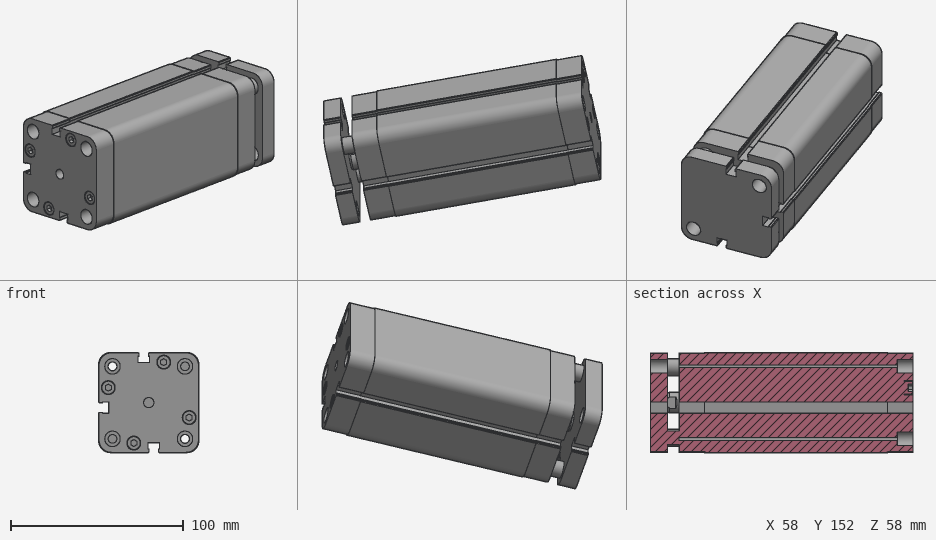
import cadquery as cq
import math

total_length = 152.0
plate_thickness = 10.0
plate_gap = 6.5
cap_length = 14.7

body_side = 58.0
cap_side = 57.5
corner_radius = 7.0

groove_offset = 2.9
groove_width = 6.4
groove_mouth_width = 5.5
groove_mouth_depth = 2.0
groove_lip_chamfer = 0.5
body_groove_depth = 5.8
cap_groove_depth = 5.6

mount_hole_offset = 21.0
mount_hole_diameter = 5.0
mount_counterbore_diameter = 9.0
mount_counterbore_depth = 9.1

screw_count = 4
screw_edge_offset = 23.4
screw_side_offset = 8.7
screw_pocket_diameter = 8.0
screw_pocket_depth = 5.0
screw_head_diameter = 7.5
screw_head_recess = 0.3
screw_hex_across_flats = 3.5
screw_hex_depth = 2.5

port_diameter = 6.0
port_depth = 10.0

piston_rod_diameter = 12.0
piston_flat_width = 10.0
piston_flat_length = 4.5
piston_flat_slope_length = 0.9
piston_chamfer_length = 1.0
piston_chamfer_width = 0.5
guide_rod_diameter = 10.0
guide_rod_offset = 20.4
plate_hole_diameter = 9.0

front_y = -total_length / 2
back_y = total_length / 2
plate_front_y = back_y - plate_thickness
cylinder_back_y = plate_front_y - plate_gap
body_front_y = front_y + cap_length
body_back_y = cylinder_back_y - cap_length
signs = (1, -1)
groove_turns = (0, -90, -180)


def section_at(y):
    """Sketch plane facing +Y with its X along -X and its Y along +Z."""
    return cq.Workplane(cq.Plane(origin=(0, y, 0), xDir=(-1, 0, 0), normal=(0, 1, 0)))


def cylinder_along_y(diameter, x, z, start_y, end_y):
    return section_at(start_y).center(-x, z).circle(diameter / 2).extrude(end_y - start_y)


def top_groove(side, groove_depth):
    """Groove open at the top of a block of this side, wider below its mouth, with chamfered lips."""
    half_width = groove_width / 2
    half_mouth = groove_mouth_width / 2
    half_lip = half_mouth + groove_lip_chamfer
    right_half = [
        (half_width, -groove_depth),
        (half_width, -groove_mouth_depth),
        (half_mouth, -groove_mouth_depth),
        (half_mouth, -groove_lip_chamfer),
        (half_lip, 0),
    ]
    left_half = [(-x, z) for x, z in reversed(right_half)]
    profile = section_at(front_y).center(groove_offset, side / 2).polyline(right_half + left_half).close()
    return profile.extrude(total_length)


def turned(shape, angle):
    return shape.rotate((0, 0, 0), (0, 1, 0), angle)


def grooved_block(side, groove_depth, start_y, end_y):
    """Rounded square block with the same groove on its top, left and bottom sides."""
    block = section_at(start_y).rect(side, side).extrude(end_y - start_y)
    block = block.edges("|Y").fillet(corner_radius)
    for angle in groove_turns:
        block = block.cut(turned(top_groove(side, groove_depth), angle))
    return block


def cut_mounting_holes(part):
    """Holes through the cylinder in all four corners, counterbored from the front."""
    for x_sign in signs:
        for z_sign in signs:
            x = x_sign * mount_hole_offset
            z = z_sign * mount_hole_offset
            counterbore_end = front_y + mount_counterbore_depth
            part = part.cut(cylinder_along_y(mount_hole_diameter, x, z, front_y, cylinder_back_y))
            part = part.cut(cylinder_along_y(mount_counterbore_diameter, x, z, front_y, counterbore_end))
    return part


def add_cap_screws(part):
    """Socket screws evenly spaced around the Y axis, each in a slightly larger pocket."""
    head_y = front_y + screw_head_recess
    pocket_end = front_y + screw_pocket_depth
    hex_diameter = screw_hex_across_flats / math.cos(math.pi / 6)
    for turn in range(screw_count):
        angle = 2 * math.pi * turn / screw_count
        x = screw_side_offset * math.cos(angle) + screw_edge_offset * math.sin(angle)
        z = screw_edge_offset * math.cos(angle) - screw_side_offset * math.sin(angle)
        pocket = cylinder_along_y(screw_pocket_diameter, x, z, front_y, pocket_end)
        head = cylinder_along_y(screw_head_diameter, x, z, head_y, pocket_end)
        socket_sketch = section_at(head_y).center(-x, z).transformed(rotate=(0, 0, 90))
        socket = socket_sketch.polygon(6, hex_diameter).extrude(screw_hex_depth)
        part = part.cut(pocket).union(head.cut(socket))
    return part


def piston_rod():
    """Rod with a chamfered end and two wrench flats facing -X and +X."""
    radius = piston_rod_diameter / 2
    half_flat = piston_flat_width / 2
    slope_start_y = plate_front_y - piston_flat_length
    slope_end_y = slope_start_y - piston_flat_slope_length
    rod = cylinder_along_y(piston_rod_diameter, 0, 0, cylinder_back_y, plate_front_y)
    rod = rod.faces(">Y").chamfer(piston_chamfer_length, piston_chamfer_width)
    flat_cut = (
        cq.Workplane("XY", origin=(0, 0, -radius))
        .moveTo(half_flat, plate_front_y)
        .lineTo(half_flat, slope_start_y)
        .lineTo(radius, slope_end_y)
        .lineTo(radius, plate_front_y)
        .close()
        .extrude(piston_rod_diameter)
    )
    return rod.cut(flat_cut).cut(flat_cut.mirror("YZ"))


def cylinder():
    part = grooved_block(cap_side, cap_groove_depth, front_y, body_front_y)
    part = part.union(grooved_block(body_side, body_groove_depth, body_front_y, body_back_y))
    return part.union(grooved_block(cap_side, cap_groove_depth, body_back_y, cylinder_back_y))


def plate():
    """End plate with access holes over the two mounting holes that have no guide rod."""
    part = grooved_block(cap_side, cap_groove_depth, plate_front_y, back_y)
    for sign in signs:
        x = -sign * mount_hole_offset
        z = sign * mount_hole_offset
        part = part.cut(cylinder_along_y(plate_hole_diameter, x, z, plate_front_y, back_y))
    return part


def add_guide_rods(part):
    """Two rods in opposite corners that join the cylinder to the plate."""
    for sign in signs:
        offset = sign * guide_rod_offset
        part = part.union(cylinder_along_y(guide_rod_diameter, offset, offset, cylinder_back_y, plate_front_y))
    return part


result = cut_mounting_holes(cylinder())
result = add_cap_screws(result)
result = result.cut(cylinder_along_y(port_diameter, 0, 0, front_y, front_y + port_depth))
result = result.union(piston_rod()).union(plate())
result = add_guide_rods(result)